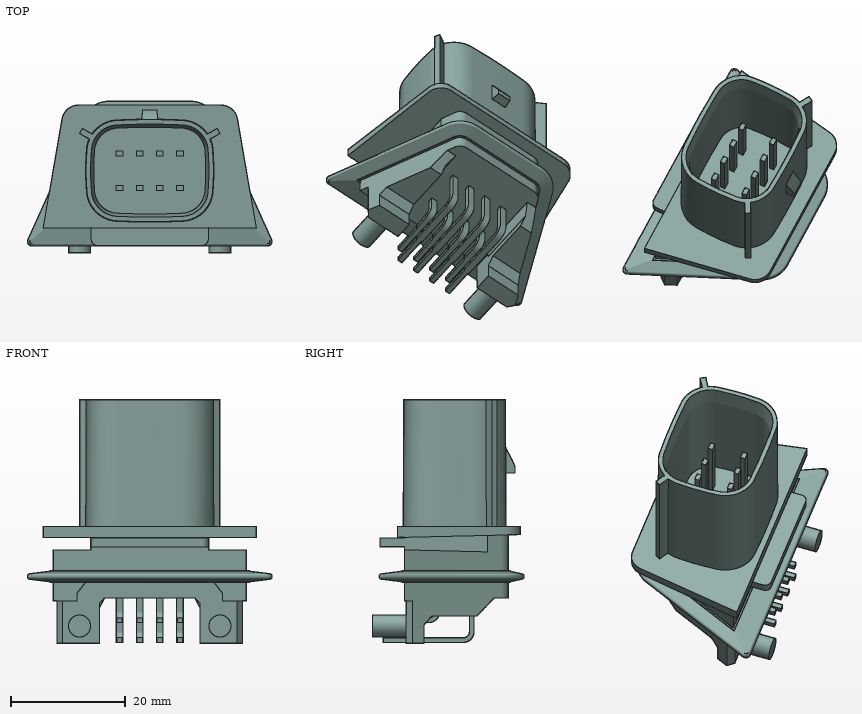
import cadquery as cq
import math


TOTAL_HEIGHT = 42.56
FLANGE_TOP = 20.43
SHROUD_HALF_X = 11.2
SHROUD_HALF_Y = 9.0
SIDE_BULGE = 0.15
FLAT_HALF_X = 5.77
FLAT_HALF_Y = 3.72
CORNER_EASE = 0.1
SHROUD_DRAFT = 0.1
WALL_AT_MOUTH = 0.77
WALL_BELOW_LEAD_IN = 1.33
LEAD_IN_DEPTH = 3.0

RIB_ANGLE = 30
RIB_WIDTH = 1.0
RIB_REACH = 13.85
RIB_ROOT = 11.3
LATCH_BOTTOM = 29.7
LATCH_TIP_TOP = 30.9
LATCH_RAMP_END = (10.2, 31.7)
LATCH_RAMP_MIDDLE = (9.65, 32.8)
LATCH_TOP = 34.15
LATCH_TIP_Y = 10.55
LATCH_ROOT_Y = 8.6
LATCH_TIP_WIDTH = 2.45
LATCH_ROOT_WIDTH = 2.95

FLANGE_FRONT_Y = -10.0
FLANGE_BACK_Y = 11.46
FLANGE_FRONT_HALF = 18.6
FLANGE_BACK_HALF = 14.9
FLANGE_CORNER = 3.0
FLANGE_BACK_THICKNESS = 1.45
FLANGE_FRONT_THICKNESS = 1.95

BODY_FRONT_Y = -8.77
BODY_BACK_Y = 9.4
BODY_FRONT_HALF = 16.87
SIDE_SLOPE = 0.452
BODY_CORNER = 2.0
BODY_BOTTOM = 7.9
CORE_HALF = 10.22
SLOT_BACK_Y = 5.77
SLOT_FLOOR_BACK = 15.97
SLOT_FLOOR_FRONT = 16.33

TONGUE_FRONT_Y = -13.05
TONGUE_BOTTOM = 16.87
TONGUE_TOP = 18.42
TONGUE_CORNER = 1.1

SEAL_FRONT_Y = -13.15
SEAL_BACK_Y = 12.14
SEAL_FRONT_HALF = 21.785
SEAL_FRONT_CORNER = 0.8
SEAL_BACK_CORNER = 5.1
SEAL_CENTRE_Z = 11.68
SEAL_ROOT_THICKNESS = 2.0
SEAL_RIM_THICKNESS = 0.95
SEAL_RIM_ROUND = 0.4
COLLAR_WIDTH = 0.3
COLLAR_THICKNESS = 2.15

LEG_INNER_X = 8.74
LEG_FRONT_Y = -8.46
LEG_BACK_Y = -5.3
LEG_GUSSET_Y = -3.95
LEG_GUSSET_Z = 3.24
SHOULDER_BOTTOM = 4.78
SHOULDER_BACK_Y = 3.87
SHOULDER_SLOPE_Y = 6.92
PAD_BOTTOM = 7.43
PAD_INNER_X = 12.7
PAD_SLOPE_Z = 8.74
PAD_TOP_INNER_X = 11.26
LEG_CHAMFER_X = 15.25
LEG_CHAMFER_Y = -7.31
BAY_BEVEL_WIDTH = 0.85
BAY_BEVEL_FRONT_DROP = 0.85
BAY_BEVEL_BACK_DROP = 1.65
PEG_X = 12.25
PEG_Z = 3.04
PEG_DIAMETER = 3.85
PEG_FRONT_Y = -14.35

PIN_PITCH = 3.5
PIN_COUNT = 4
PIN_ROW_Y = 3.0
PIN_WIDTH = 1.2
PIN_THICKNESS = 0.85
PIN_TOP = 32.7
PIN_BEND_RADIUS = 1.5
TAIL_END_Y = -12.45
TAIL_TIP_WIDTH = 0.9
TAIL_TIP_LENGTH = 5.5
LOWER_TAIL_Z = 0.57
UPPER_TAIL_Z = 4.05


def mirrored(shape):
    """The shape together with its reflection across the symmetry plane."""
    return shape.union(shape.mirror("YZ"))


def prism_across_x(points, half_width):
    """Prism with a (Y, Z) outline reaching equally far to both sides."""
    return cq.Workplane("YZ").polyline(points).close().extrude(half_width, both=True)


def trapezoid(front_half, front_y, back_half, back_y):
    return [(-front_half, front_y), (front_half, front_y), (back_half, back_y), (-back_half, back_y)]


def narrowed(front_half, front_y, back_y):
    return front_half - SIDE_SLOPE * (back_y - front_y)


def trapezoid_block(corners, bottom, top, back_radius):
    block = cq.Workplane("XY").workplane(offset=bottom).polyline(corners).close().extrude(top - bottom)
    return block.edges("|Z and >Y").fillet(back_radius)


def shroud_loop(plane, inset):
    """Rounded rectangle with slightly crowned sides, shrunk by the inset."""
    half_x = SHROUD_HALF_X - inset
    half_y = SHROUD_HALF_Y - inset
    side_x = half_x - SIDE_BULGE
    side_y = half_y - SIDE_BULGE
    diagonal = 1 - math.sqrt(0.5)
    corner_x = side_x - diagonal * (side_x - FLAT_HALF_X) - CORNER_EASE
    corner_y = side_y - diagonal * (side_y - FLAT_HALF_Y) - CORNER_EASE
    return (
        plane.moveTo(-FLAT_HALF_X, side_y)
        .threePointArc((0, half_y), (FLAT_HALF_X, side_y))
        .threePointArc((corner_x, corner_y), (side_x, FLAT_HALF_Y))
        .threePointArc((half_x, 0), (side_x, -FLAT_HALF_Y))
        .threePointArc((corner_x, -corner_y), (FLAT_HALF_X, -side_y))
        .threePointArc((0, -half_y), (-FLAT_HALF_X, -side_y))
        .threePointArc((-corner_x, -corner_y), (-side_x, -FLAT_HALF_Y))
        .threePointArc((-half_x, 0), (-side_x, FLAT_HALF_Y))
        .threePointArc((-corner_x, corner_y), (-FLAT_HALF_X, side_y))
        .close()
    )


def shroud_loft(bottom, top, bottom_inset, top_inset):
    lower = shroud_loop(cq.Workplane("XY").workplane(offset=bottom), bottom_inset)
    upper = shroud_loop(lower.workplane(offset=top - bottom), top_inset)
    return upper.loft(ruled=True, combine=True)


def make_shroud():
    lead_in_bottom = TOTAL_HEIGHT - LEAD_IN_DEPTH
    mouth_inset = SHROUD_DRAFT + WALL_AT_MOUTH
    bore_inset = SHROUD_DRAFT + WALL_BELOW_LEAD_IN
    shroud = shroud_loft(FLANGE_TOP, TOTAL_HEIGHT, 0, SHROUD_DRAFT)
    rib_length = RIB_REACH - RIB_ROOT
    rib = (
        cq.Workplane("XY")
        .box(rib_length, RIB_WIDTH, TOTAL_HEIGHT - FLANGE_TOP, centered=(False, True, False))
        .translate((RIB_ROOT, 0, FLANGE_TOP))
        .rotate((0, 0, 0), (0, 0, 1), RIB_ANGLE)
    )
    shroud = shroud.union(mirrored(rib)).union(make_latch())
    shroud = shroud.cut(shroud_loft(FLANGE_TOP, lead_in_bottom, bore_inset, bore_inset))
    return shroud.cut(shroud_loft(lead_in_bottom, TOTAL_HEIGHT, bore_inset, mouth_inset))


def make_latch():
    side_profile = (
        cq.Workplane("YZ")
        .moveTo(LATCH_ROOT_Y, LATCH_BOTTOM)
        .lineTo(LATCH_TIP_Y, LATCH_BOTTOM)
        .lineTo(LATCH_TIP_Y, LATCH_TIP_TOP)
        .lineTo(*LATCH_RAMP_END)
        .threePointArc(LATCH_RAMP_MIDDLE, (SHROUD_HALF_Y - SHROUD_DRAFT, LATCH_TOP))
        .lineTo(LATCH_ROOT_Y, LATCH_TOP)
        .close()
        .extrude(LATCH_ROOT_WIDTH, both=True)
    )
    plan = trapezoid(LATCH_ROOT_WIDTH / 2, LATCH_ROOT_Y, LATCH_TIP_WIDTH / 2, LATCH_TIP_Y)
    return side_profile.intersect(cq.Workplane("XY").polyline(plan).close().extrude(TOTAL_HEIGHT))


def flange_underside(y):
    """Height of the gently sloping lower face of the flange."""
    share = (y - FLANGE_FRONT_Y) / (FLANGE_BACK_Y - FLANGE_FRONT_Y)
    thickness = FLANGE_FRONT_THICKNESS + share * (FLANGE_BACK_THICKNESS - FLANGE_FRONT_THICKNESS)
    return FLANGE_TOP - thickness


def make_flange():
    plan = trapezoid(FLANGE_FRONT_HALF, FLANGE_FRONT_Y, FLANGE_BACK_HALF, FLANGE_BACK_Y)
    plate = trapezoid_block(plan, FLANGE_TOP - FLANGE_FRONT_THICKNESS, FLANGE_TOP, FLANGE_CORNER)
    wedge = [
        (FLANGE_FRONT_Y, FLANGE_TOP),
        (FLANGE_FRONT_Y, flange_underside(FLANGE_FRONT_Y)),
        (FLANGE_BACK_Y, flange_underside(FLANGE_BACK_Y)),
        (FLANGE_BACK_Y, FLANGE_TOP),
    ]
    return plate.intersect(prism_across_x(wedge, FLANGE_FRONT_HALF))


def make_tongue():
    """Rounded tongue reaching forward from inside the core."""
    tongue = (
        cq.Workplane("XY")
        .box(2 * CORE_HALF, -TONGUE_FRONT_Y, TONGUE_TOP - TONGUE_BOTTOM, centered=(True, False, False))
        .translate((0, TONGUE_FRONT_Y, TONGUE_BOTTOM))
    )
    return tongue.edges("|Z and <Y").fillet(TONGUE_CORNER)


def tapered_plan(front_half, front_y, back_y, inset=0):
    """Trapezoid with the common side slope, moved inward by the inset on every side."""
    side_shift = inset * math.hypot(1, SIDE_SLOPE)
    near_y = front_y + inset
    far_y = back_y - inset
    near_half = narrowed(front_half, front_y, near_y) - side_shift
    far_half = narrowed(front_half, front_y, far_y) - side_shift
    return trapezoid(near_half, near_y, far_half, far_y)


def body_plan(inset=0):
    return tapered_plan(BODY_FRONT_HALF, BODY_FRONT_Y, BODY_BACK_Y, inset)


def rim_plan(inset=0):
    return tapered_plan(SEAL_FRONT_HALF, SEAL_FRONT_Y, SEAL_BACK_Y, inset)


def make_body():
    body = trapezoid_block(body_plan(), 0, FLANGE_TOP - FLANGE_BACK_THICKNESS, BODY_CORNER)
    side_profile = [
        (BODY_FRONT_Y, FLANGE_TOP),
        (BODY_FRONT_Y, 0),
        (LEG_BACK_Y, 0),
        (LEG_BACK_Y, LEG_GUSSET_Z),
        (LEG_GUSSET_Y, SHOULDER_BOTTOM),
        (SHOULDER_BACK_Y, SHOULDER_BOTTOM),
        (SHOULDER_SLOPE_Y, BODY_BOTTOM),
        (BODY_BACK_Y, BODY_BOTTOM),
        (BODY_BACK_Y, FLANGE_TOP),
    ]
    body = body.intersect(prism_across_x(side_profile, BODY_FRONT_HALF))
    body = body.cut(side_slots()).cut(pin_bay()).cut(front_recess())
    return body.cut(leg_corner_cuts())


def side_slots():
    """Wedge-shaped slots under the flange, open to the sides and front."""
    profile = [
        (BODY_FRONT_Y, SLOT_FLOOR_FRONT),
        (SLOT_BACK_Y, SLOT_FLOOR_BACK),
        (SLOT_BACK_Y, FLANGE_TOP),
        (BODY_FRONT_Y, FLANGE_TOP),
    ]
    slot = cq.Workplane("YZ").workplane(offset=CORE_HALF).polyline(profile).close().extrude(BODY_FRONT_HALF)
    return mirrored(slot)


def pin_bay():
    """Space between the legs; its upper bevels are steeper behind the legs."""
    front_bay = bay_prism(BAY_BEVEL_FRONT_DROP).translate((0, LEG_BACK_Y, 0))
    back_bay = bay_prism(BAY_BEVEL_BACK_DROP).translate((0, BODY_BACK_Y, 0))
    return front_bay.union(back_bay)


def bay_prism(bevel_drop):
    bevel_x = LEG_INNER_X - BAY_BEVEL_WIDTH
    bevel_z = BODY_BOTTOM - bevel_drop
    outline = [
        (-LEG_INNER_X, 0),
        (LEG_INNER_X, 0),
        (LEG_INNER_X, bevel_z),
        (bevel_x, BODY_BOTTOM),
        (-bevel_x, BODY_BOTTOM),
        (-LEG_INNER_X, bevel_z),
    ]
    return cq.Workplane("XZ").polyline(outline).close().extrude(BODY_BACK_Y - LEG_BACK_Y)


def front_recess():
    """Shallow recess that leaves a raised pad at each front corner."""
    recess_top = SEAL_CENTRE_Z - COLLAR_THICKNESS / 2
    outline = [
        (-BODY_FRONT_HALF, 0),
        (BODY_FRONT_HALF, 0),
        (BODY_FRONT_HALF, PAD_BOTTOM),
        (PAD_INNER_X, PAD_BOTTOM),
        (PAD_INNER_X, PAD_SLOPE_Z),
        (PAD_TOP_INNER_X, recess_top),
        (-PAD_TOP_INNER_X, recess_top),
        (-PAD_INNER_X, PAD_SLOPE_Z),
        (-PAD_INNER_X, PAD_BOTTOM),
        (-BODY_FRONT_HALF, PAD_BOTTOM),
    ]
    front_plane = cq.Workplane("XZ", origin=(0, LEG_FRONT_Y, 0))
    return front_plane.polyline(outline).close().extrude(LEG_FRONT_Y - BODY_FRONT_Y)


def leg_corner_cuts():
    side_x = narrowed(BODY_FRONT_HALF, BODY_FRONT_Y, LEG_CHAMFER_Y)
    outline = [
        (LEG_CHAMFER_X, LEG_FRONT_Y),
        (side_x, LEG_CHAMFER_Y),
        (BODY_FRONT_HALF, LEG_CHAMFER_Y),
        (BODY_FRONT_HALF, LEG_FRONT_Y),
    ]
    return mirrored(cq.Workplane("XY").polyline(outline).close().extrude(PAD_BOTTOM))


def skirt_loop(plane, corners, back_radius):
    """Trapezoid with both back corners rounded."""
    front_half, front_y = corners[1]
    back_half, back_y = corners[2]
    side_angle = math.atan(SIDE_SLOPE)
    setback = back_radius * math.tan((math.pi / 2 - side_angle) / 2)
    side_x = back_half + setback * math.sin(side_angle)
    side_y = back_y - setback * math.cos(side_angle)
    top_x = back_half - setback
    return (
        plane.moveTo(-front_half, front_y)
        .lineTo(front_half, front_y)
        .lineTo(side_x, side_y)
        .radiusArc((top_x, back_y), -back_radius)
        .lineTo(-top_x, back_y)
        .radiusArc((-side_x, side_y), -back_radius)
        .close()
    )


def skirt_disc(inset, thickness):
    """Flat plate with the rim outline, centred on the skirt."""
    plane = cq.Workplane("XY").workplane(offset=SEAL_CENTRE_Z)
    disc = skirt_loop(plane, rim_plan(inset), SEAL_BACK_CORNER - inset).extrude(thickness / 2, both=True)
    return disc.edges("|Z and <Y").fillet(SEAL_FRONT_CORNER - inset)


def make_seal():
    """Skirt that thins from the body outward to a rounded rim."""
    rim = skirt_disc(0, SEAL_RIM_THICKNESS).faces("|Z").edges().fillet(SEAL_RIM_ROUND)
    rim_top = cq.Workplane("XY").workplane(offset=SEAL_CENTRE_Z + SEAL_RIM_THICKNESS / 2)
    foot = skirt_loop(rim_top, rim_plan(SEAL_RIM_ROUND), SEAL_BACK_CORNER - SEAL_RIM_ROUND)
    slope_height = (SEAL_ROOT_THICKNESS - SEAL_RIM_THICKNESS) / 2
    root = skirt_loop(foot.workplane(offset=slope_height), body_plan(), BODY_CORNER)
    upper = root.loft(ruled=True, combine=True)
    upper = upper.intersect(skirt_disc(SEAL_RIM_ROUND, SEAL_ROOT_THICKNESS))
    lower = upper.mirror("XY", (0, 0, SEAL_CENTRE_Z))
    return rim.union(upper).union(lower).union(make_seal_collar())


def make_seal_collar():
    """Low collar standing slightly above the skirt where it meets the body."""
    plane = cq.Workplane("XY").workplane(offset=SEAL_CENTRE_Z)
    loop = skirt_loop(plane, body_plan(-COLLAR_WIDTH), BODY_CORNER + COLLAR_WIDTH)
    return loop.extrude(COLLAR_THICKNESS / 2, both=True)


def make_pegs():
    front_plane = cq.Workplane("XZ", origin=(0, LEG_FRONT_Y, 0))
    return front_plane.pushPoints([(-PEG_X, PEG_Z), (PEG_X, PEG_Z)]).circle(PEG_DIAMETER / 2).extrude(
        LEG_FRONT_Y - PEG_FRONT_Y
    )


def make_pin(x, row_y, tail_z):
    """Flat pin standing in the shroud, bent forward into a tail with a narrow tip."""
    tip_root_y = TAIL_END_Y + TAIL_TIP_LENGTH
    outer_radius = PIN_BEND_RADIUS + PIN_THICKNESS / 2
    inner_radius = PIN_BEND_RADIUS - PIN_THICKNESS / 2
    back_y = row_y + PIN_THICKNESS / 2
    front_y = row_y - PIN_THICKNESS / 2
    tail_bottom = tail_z - PIN_THICKNESS / 2
    tail_top = tail_z + PIN_THICKNESS / 2
    bend_y = row_y - PIN_BEND_RADIUS
    bend_z = tail_z + PIN_BEND_RADIUS
    strip = (
        cq.Workplane("YZ", origin=(x, 0, 0))
        .moveTo(back_y, PIN_TOP)
        .lineTo(back_y, bend_z)
        .radiusArc((bend_y, tail_bottom), outer_radius)
        .lineTo(tip_root_y, tail_bottom)
        .lineTo(tip_root_y, tail_top)
        .lineTo(bend_y, tail_top)
        .radiusArc((front_y, bend_z), -inner_radius)
        .lineTo(front_y, PIN_TOP)
        .close()
        .extrude(PIN_WIDTH / 2, both=True)
    )
    tip = (
        cq.Workplane("XY")
        .box(TAIL_TIP_WIDTH, TAIL_TIP_LENGTH, PIN_THICKNESS, centered=(True, False, True))
        .translate((x, TAIL_END_Y, tail_z))
    )
    return strip.union(tip)


result = make_body().union(make_flange()).union(make_tongue()).union(make_seal())
result = result.union(make_shroud()).union(make_pegs())
for index in range(PIN_COUNT):
    pin_x = (index - (PIN_COUNT - 1) / 2) * PIN_PITCH
    result = result.union(make_pin(pin_x, PIN_ROW_Y, LOWER_TAIL_Z))
    result = result.union(make_pin(pin_x, -PIN_ROW_Y, UPPER_TAIL_Z))